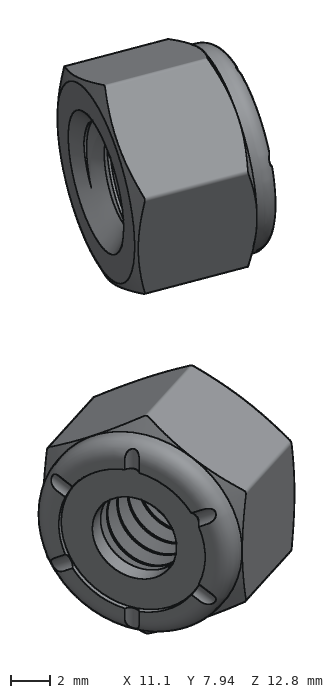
import cadquery as cq
import math


nut_height = 7.94
across_flats = 11.11
across_corners = 12.76

hex_height = 6.61
front_face_radius = 5.32
front_bevel_angle = 24.0
rear_bevel_angle = 30.0

collar_radius = 5.55
collar_round = 0.93
recess_radius = 4.08

groove_count = 6
groove_width = 0.82
groove_depth = 0.24

bore_radius = 2.35
countersink_radius = 3.8
thread_root_radius = 3.19
thread_pitch = 1.27
thread_root_width = thread_pitch / 8
thread_flank_angle = 30.0
thread_start = 0.06 - thread_pitch
cut_margin = 0.04

insert_height = 1.02


def tan_deg(angle):
    return math.tan(math.radians(angle))


def make_hexagon():
    """Hexagonal prism with rounded corners and conical bevels at both ends."""
    sharp_corners = across_flats * 2 / math.sqrt(3)
    corner_round = (sharp_corners - across_corners) / 2 / (2 / math.sqrt(3) - 1)
    prism = (
        cq.Workplane("XY")
        .polygon(6, sharp_corners)
        .extrude(hex_height)
        .rotate((0, 0, 0), (0, 0, 1), 90)
        .edges("|Z")
        .fillet(corner_round)
    )
    limit_radius = sharp_corners / 2
    front_bevel = (limit_radius - front_face_radius) * tan_deg(front_bevel_angle)
    rear_bevel = (limit_radius - collar_radius) * tan_deg(rear_bevel_angle)
    envelope = (
        cq.Workplane("XZ")
        .moveTo(0, 0)
        .lineTo(front_face_radius, 0)
        .lineTo(limit_radius, front_bevel)
        .lineTo(limit_radius, hex_height - rear_bevel)
        .lineTo(collar_radius, hex_height)
        .lineTo(0, hex_height)
        .close()
        .revolve(360, (0, 0, 0), (0, 1, 0))
    )
    return prism.intersect(envelope)


def make_collar():
    return (
        cq.Workplane("XY", origin=(0, 0, hex_height))
        .circle(collar_radius)
        .extrude(nut_height - hex_height)
        .faces(">Z")
        .edges()
        .fillet(collar_round)
    )


def make_bore():
    """Through bore with a 45 degree countersink at the front and the insert recess at the rear."""
    return (
        cq.Workplane("XZ")
        .moveTo(0, 0)
        .lineTo(countersink_radius, 0)
        .lineTo(bore_radius, countersink_radius - bore_radius)
        .lineTo(bore_radius, hex_height)
        .lineTo(recess_radius, hex_height)
        .lineTo(recess_radius, nut_height)
        .lineTo(0, nut_height)
        .close()
        .revolve(360, (0, 0, 0), (0, 1, 0))
    )


def make_thread_cutter():
    """Right-hand helical groove with a flat root, its mouth slightly inside the bore."""
    inner_radius = bore_radius - cut_margin
    root_half = thread_root_width / 2
    mouth_half = root_half + (thread_root_radius - inner_radius) * tan_deg(thread_flank_angle)
    helix_height = hex_height + thread_pitch / 2 - thread_start
    helix = cq.Wire.makeHelix(thread_pitch, helix_height, bore_radius, cq.Vector(0, 0, thread_start))
    return (
        cq.Workplane("XZ")
        .moveTo(inner_radius, thread_start - mouth_half)
        .lineTo(thread_root_radius, thread_start - root_half)
        .lineTo(thread_root_radius, thread_start + root_half)
        .lineTo(inner_radius, thread_start + mouth_half)
        .close()
        .sweep(cq.Workplane(obj=helix), isFrenet=True)
    )


def make_rim_groove(angle):
    """Cylinder along a radius whose lowest part sinks into the rear rim."""
    groove_radius = ((groove_width / 2) ** 2 + groove_depth ** 2) / (2 * groove_depth)
    groove_axis_height = nut_height - groove_depth + groove_radius
    return (
        cq.Workplane("YZ")
        .center(0, groove_axis_height)
        .circle(groove_radius)
        .extrude(collar_radius)
        .rotate((0, 0, 0), (0, 0, 1), angle)
    )


def make_nut():
    blank = make_hexagon().union(make_collar())
    body = blank.cut(make_thread_cutter()).cut(make_bore())
    for index in range(groove_count):
        body = body.cut(make_rim_groove(30 + index * 360 / groove_count))
    return cq.Workplane(obj=body.solids().val())


def make_insert():
    """Plain ring filling the recess below the rim grooves."""
    return (
        cq.Workplane("XY", origin=(0, 0, hex_height))
        .circle(recess_radius)
        .circle(bore_radius)
        .extrude(insert_height)
    )


def turn_onto_y(body):
    """Turn the nut axis from +Z to +Y."""
    return body.rotate((0, 0, 0), (1, 0, 0), -90)


nut = turn_onto_y(make_nut())
locking_insert = turn_onto_y(make_insert())

result = cq.Compound.makeCompound([nut.val(), locking_insert.val()])